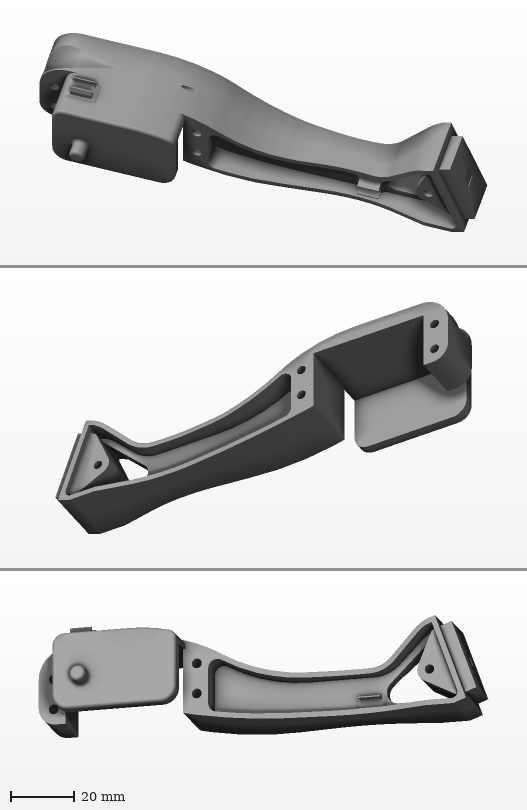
import cadquery as cq
import math


total_depth = 36.9
arm_width = 20.1
arm_half_width = arm_width / 2
top_z = 30.1
head_length = 8.8
head_front_y = -5.4
head_bottom_z = 4.9
head_top_radius = 10.0
head_bottom_radius = 5.6
bay_right_x = 48.9
bay_roof_z = 25.0

cover_right_x = 49.6
cover_bottom_z = 4.8
cover_front_y = -21.7
cover_thickness = 4.0
cover_top_left_radius = 4.0
cover_top_right_radius = 2.9
cover_bottom_radius = 5.2
cover_edge_radius = 1.0

slope_start_x = 34.5
slope_end_x = 88.7
arm_top_z = 14.9
rise_start_x = 109.7
rise_radius = 10.0
rise_angle = math.radians(45)
rise_end_x = 124.5
belly_end_x = 82.5
belly_bay_z = 3.9

pad_tilt = math.radians(20)
pad_top_x = 131.9
pad_top_z = 29.7
pad_length = 30.0
pad_lip_length = 2.3
pad_plate_length = 24.0
pad_plate_width = 14.0
pad_plate_end_x = 144.7
pad_recess_width = 4.9
pad_recess_length = 3.8
pad_recess_depth = 0.3

waist_start = (53.3, arm_half_width)
waist_taper_start = (82.5, 8.1)
waist_taper_end = (94.7, 6.8)
waist_middle = (106.5, 6.4)
waist_flare_start = (117.0, 7.5)
waist_end = (128.8, arm_half_width)

rim = 1.7
web_half = 1.9
pocket_left_x = 57.2
pocket_corner_radius = 2.9
pocket_foot_radius = 1.9
opening_bottom_z = 3.9
opening_diagonal_offset = 104.4
opening_left_radius = 3.9
lug_x = 129.3
lug_z = 12.9
lug_radius = 4.0
lug_half_width = 7.0
lug_root_radius = 1.5
lug_hole_diameter = 3.0

screw_hole_diameter = 3.2
screw_xs = (4.9, 53.4)
screw_zs = (10.0, 20.0)
cable_z = 28.2
cable_diameter = 1.5
cable_start_x = 42.0
cable_exit_x = 52.1

scoop_tip_x = 25.0
scoop_step_x = 11.6
scoop_ring_x = 18.2
scoop_ring_z = 8.3
scoop_ring_radius = 21.9
scoop_section_radius = 6.0
scoop_cone_end_z = 34.9
scoop_cone_end_radius = 6.4

pin_x = 18.5
pin_z = 14.9
pin_diameter = 5.0
pin_tip_y = arm_half_width - total_depth
pin_round = 1.0
clip_length = 7.1
clip_width = 5.4
clip_height = 3.6
clip_tip_inset = 0.6
clip_tip_height = 1.5
clip_gap = 3.5
clip_floor = 0.6
clip_skirt_length = 10.3
clip_skirt_width = 7.1
clip_skirt_height = 0.7
top_clip_x = 16.4
top_clip_y = -11.9
web_clip_x = 108.8
web_clip_z = 3.9

pad_down = (math.sin(pad_tilt), -math.cos(pad_tilt))
pad_out = (math.cos(pad_tilt), math.sin(pad_tilt))
pad_top = (pad_top_x, pad_top_z)
reach = 86.8
arc_middle = 1 - math.cos(math.pi / 4)


def step(point, direction, distance):
    """Move a 2D point along a direction."""
    return (point[0] + direction[0] * distance, point[1] + direction[1] * distance)


def box(x0, x1, y0, y1, z0, z1):
    """Axis-aligned box between two corners."""
    return cq.Workplane("XY").box(x1 - x0, y1 - y0, z1 - z0, centered=False).translate((x0, y0, z0))


def plate_y(outline, y_front, y_back):
    """Extrude an XZ outline from y_front to y_back."""
    return outline.extrude(y_back - y_front).translate((0, y_back, 0))


def side_outline():
    """Side profile of head, arm and pad in the XZ plane."""
    slope_middle = ((slope_start_x + slope_end_x) / 2, (top_z + arm_top_z) / 2)
    rise_arc_end = (rise_start_x + rise_radius * math.sin(rise_angle),
                    arm_top_z + rise_radius * (1 - math.cos(rise_angle)))
    rise_end_z = rise_arc_end[1] + (rise_end_x - rise_arc_end[0]) * math.tan(rise_angle)
    pad_bottom = step(pad_top, pad_down, pad_length)
    pad_foot_x = pad_bottom[0] - pad_bottom[1] / math.tan(pad_tilt)
    return (
        cq.Workplane("XZ")
        .moveTo(0, top_z - head_top_radius)
        .threePointArc((head_top_radius * arc_middle, top_z - head_top_radius * arc_middle),
                       (head_top_radius, top_z))
        .lineTo(slope_start_x, top_z)
        .tangentArcPoint(slope_middle, relative=False)
        .tangentArcPoint((slope_end_x, arm_top_z), relative=False)
        .lineTo(rise_start_x, arm_top_z)
        .tangentArcPoint(rise_arc_end, relative=False)
        .lineTo(rise_end_x, rise_end_z)
        .tangentArcPoint(step(pad_top, pad_out, -pad_lip_length), relative=False)
        .lineTo(*pad_top)
        .lineTo(*pad_bottom)
        .lineTo(pad_foot_x, 0)
        .lineTo(belly_end_x, 0)
        .tangentArcPoint((bay_right_x, belly_bay_z), relative=False)
        .lineTo(bay_right_x, head_bottom_z)
        .lineTo(head_bottom_radius, head_bottom_z)
        .threePointArc((head_bottom_radius * arc_middle, head_bottom_z + head_bottom_radius * arc_middle),
                       (0, head_bottom_z + head_bottom_radius))
        .close()
    )


def waist_half():
    """Plan of the waisted arm on its +Y side."""
    return (
        cq.Workplane("XY")
        .lineTo(0, arm_half_width)
        .lineTo(*waist_start)
        .tangentArcPoint(waist_taper_start, relative=False)
        .lineTo(*waist_taper_end)
        .tangentArcPoint(waist_middle, relative=False)
        .tangentArcPoint(waist_flare_start, relative=False)
        .lineTo(*waist_end)
        .lineTo(pad_plate_end_x, arm_half_width)
        .lineTo(pad_plate_end_x, 0)
        .close()
        .extrude(reach)
    )


def make_body():
    """Head, bay roof and waisted arm, without the cover plate."""
    half = waist_half()
    plan = half.union(half.mirror("XZ"))
    body = side_outline().extrude(arm_half_width, both=True).intersect(plan)
    bay = box(head_length, bay_right_x, -reach, reach, -reach, bay_roof_z)
    seat = box(-reach, head_length + cover_top_left_radius, -reach, head_front_y, -reach, reach)
    return body.cut(bay).cut(seat)


def make_cover():
    """Roof extension and front plate of the bay, with a rounded front edge."""
    half_run = (slope_end_x - slope_start_x) / 2
    half_drop = (top_z - arm_top_z) / 2
    slope_radius = (half_run ** 2 + half_drop ** 2) / (2 * half_drop)
    into_slope = cover_right_x - slope_start_x
    right_top_z = top_z - slope_radius + math.sqrt(slope_radius ** 2 - into_slope ** 2)
    outline = (
        cq.Workplane("XZ")
        .moveTo(head_length, cover_bottom_z)
        .lineTo(head_length, top_z)
        .lineTo(slope_start_x, top_z)
        .tangentArcPoint((cover_right_x, right_top_z), relative=False)
        .lineTo(cover_right_x, cover_bottom_z)
        .close()
    )
    cover = plate_y(outline, cover_front_y, head_front_y)
    cover = cover.edges("|Y").edges("<Z").fillet(cover_bottom_radius)
    cover = cover.edges("|Y").edges(">Z").edges("<X").fillet(cover_top_left_radius)
    cover = cover.edges("|Y").edges(">X").edges(">Z").fillet(cover_top_right_radius)
    cover = cover.faces("<Y").edges().fillet(cover_edge_radius)
    inside_y = cover_front_y + cover_thickness
    return cover.cut(box(0, reach, inside_y, 0, -reach, bay_roof_z))


def make_pocket():
    """Front pocket of the I-section, bounded by the rim."""
    pocket = plate_y(side_outline().offset2D(-rim), -reach, -web_half)
    pocket = pocket.intersect(box(pocket_left_x, reach * 2, -reach, 0, 0, reach))
    pocket = pocket.edges("|Y").edges("<X").fillet(pocket_corner_radius)
    pocket = pocket.edges("|Y").edges(">X").fillet(pocket_foot_radius)
    return pocket


def tangent_point(outside, side):
    """Point where the line from a given point touches the lug circle."""
    dx = outside[0] - lug_x
    dz = outside[1] - lug_z
    angle = math.atan2(dz, dx) + side * math.acos(lug_radius / math.hypot(dx, dz))
    return step((lug_x, lug_z), (math.cos(angle), math.sin(angle)), lug_radius)


def window_corners():
    """Left, top and low corners of the triangular window beside the pad wall."""
    wall_top = step(pad_top, pad_out, -rim - lug_root_radius)
    lean = math.tan(pad_tilt)
    apex_z = (wall_top[0] + wall_top[1] * lean - opening_diagonal_offset) / (1 + lean)
    left = (opening_bottom_z + opening_diagonal_offset, opening_bottom_z)
    apex = (apex_z + opening_diagonal_offset, apex_z)
    foot = (wall_top[0] + (wall_top[1] - opening_bottom_z) * lean, opening_bottom_z)
    return left, apex, foot


def make_window():
    """Triangular window through the web."""
    window = cq.Workplane("XZ").polyline(window_corners()).close().extrude(web_half, both=True)
    return window.edges("|Y").edges("<X").fillet(opening_left_radius)


def make_lug():
    """Lug standing on the pad wall, with a round nose."""
    _, apex, foot = window_corners()
    into_wall = lug_root_radius + rim / 2
    return (
        cq.Workplane("XZ")
        .moveTo(*apex)
        .lineTo(*tangent_point(apex, 1))
        .threePointArc((lug_x - lug_radius, lug_z), tangent_point(foot, -1))
        .lineTo(*foot)
        .lineTo(*step(foot, pad_out, into_wall))
        .lineTo(*step(apex, pad_out, into_wall))
        .close()
        .extrude(lug_half_width, both=True)
    )


def round_lug_root(body):
    """Fillet the two edges where the lug's side faces meet the pad wall."""
    root = step(step(pad_top, pad_down, pad_length / 2), pad_out, -rim)
    for side in (-1, 1):
        near_root = cq.selectors.NearestToPointSelector((root[0], side * lug_half_width, root[1]))
        body = body.edges(near_root).fillet(lug_root_radius)
    return body


def make_pad():
    """Tilted plate on the end face, with a shallow rectangular recess in its middle."""
    margin = (pad_length - pad_plate_length) / 2
    start = step(pad_top, pad_down, margin)
    end = step(start, pad_down, pad_plate_length)
    thickness = (pad_plate_end_x - end[0]) / pad_out[0]
    corners = [start, step(start, pad_out, thickness), step(end, pad_out, thickness), end]
    plate = cq.Workplane("XZ").polyline(corners).close().extrude(pad_plate_width / 2, both=True)
    face_middle = step(step(pad_top, pad_down, pad_length / 2), pad_out, thickness)
    recess = (
        cq.Workplane("XY")
        .box(2 * pad_recess_depth, pad_recess_width, pad_recess_length)
        .rotate((0, 0, 0), (0, 1, 0), -math.degrees(pad_tilt))
        .translate((face_middle[0], 0, face_middle[1]))
    )
    return plate.cut(recess)


def cross_hole(x, z, diameter):
    """Round hole along Y through the whole part."""
    return cq.Workplane("XZ").center(x, z).circle(diameter / 2).extrude(reach, both=True)


def make_cable_bore():
    """Thin level bore that breaks out through the falling top face."""
    bore = cq.Workplane("YZ").center(0, cable_z).circle(cable_diameter / 2)
    return bore.extrude(cable_exit_x - cable_start_x).translate((cable_start_x, 0, 0))


def make_scoop():
    """Shallow round-bottomed scoop: a stretch of a ring, then a cone to the tip."""
    ring = cq.Solid.makeTorus(
        scoop_ring_radius + scoop_section_radius, scoop_section_radius,
        cq.Vector(scoop_ring_x, 0, scoop_ring_z), cq.Vector(0, 1, 0))
    left = cq.Workplane(ring).intersect(box(-reach, scoop_step_x, -reach, reach, scoop_ring_z, reach))
    end = cq.Vector(scoop_step_x, 0, scoop_cone_end_z)
    tip = cq.Vector(scoop_tip_x, 0, top_z)
    cone = cq.Solid.makeCone(scoop_cone_end_radius, 0, (tip - end).Length, end, tip - end)
    return left, cq.Workplane(cone)


def make_pin():
    """Pin on the cover with a concave root and a rounded tip."""
    radius = pin_diameter / 2
    height = cover_front_y - pin_tip_y
    corner = pin_round * arc_middle
    pin = (
        cq.Workplane("XY")
        .lineTo(radius + pin_round, 0)
        .threePointArc((radius + corner, corner), (radius, pin_round))
        .lineTo(radius, height - pin_round)
        .threePointArc((radius - corner, height - corner), (radius - pin_round, height))
        .lineTo(0, height)
        .close()
        .revolve(360, (0, 0, 0), (0, 1, 0))
    )
    return pin.rotate((0, 0, 0), (1, 0, 0), 180).translate((pin_x, cover_front_y, pin_z))


def make_clip():
    """U-shaped cable clip along X, standing on Z = 0 with a flared skirt."""
    half_width = clip_width / 2
    tip_half_width = half_width - clip_tip_inset
    tip_start_z = clip_height - clip_tip_height
    walls = (
        cq.Workplane("YZ")
        .polyline([(-half_width, 0), (half_width, 0), (half_width, tip_start_z),
                   (tip_half_width, clip_height), (-tip_half_width, clip_height),
                   (-half_width, tip_start_z)])
        .close()
        .extrude(clip_length / 2, both=True)
    )
    skirt = (
        cq.Workplane("XY")
        .rect(clip_skirt_length, clip_skirt_width)
        .workplane(offset=clip_skirt_height)
        .rect(clip_length, clip_width)
        .loft()
    )
    gap_radius = clip_gap / 2
    gap_center_z = clip_floor + gap_radius
    channel = (
        cq.Workplane("YZ")
        .moveTo(-gap_radius, clip_height)
        .lineTo(-gap_radius, gap_center_z)
        .threePointArc((0, clip_floor), (gap_radius, gap_center_z))
        .lineTo(gap_radius, clip_height)
        .close()
        .extrude(clip_skirt_length, both=True)
    )
    return walls.union(skirt).cut(channel)


body = make_body()
pocket = make_pocket()
body = body.cut(pocket).cut(pocket.mirror("XZ")).cut(make_window())
body = round_lug_root(body.union(make_lug()))
body = body.union(make_cover()).union(make_pad())
body = body.cut(make_cable_bore())
for scoop_part in make_scoop():
    body = body.cut(scoop_part)

for hole_x in screw_xs:
    for hole_z in screw_zs:
        body = body.cut(cross_hole(hole_x, hole_z, screw_hole_diameter))
body = body.cut(cross_hole(lug_x, lug_z, lug_hole_diameter))

clip = make_clip()
top_clip = clip.translate((top_clip_x, top_clip_y, top_z))
web_clip = clip.rotate((0, 0, 0), (1, 0, 0), 90).translate((web_clip_x, -web_half, web_clip_z))
result = body.union(make_pin()).union(top_clip).union(web_clip)